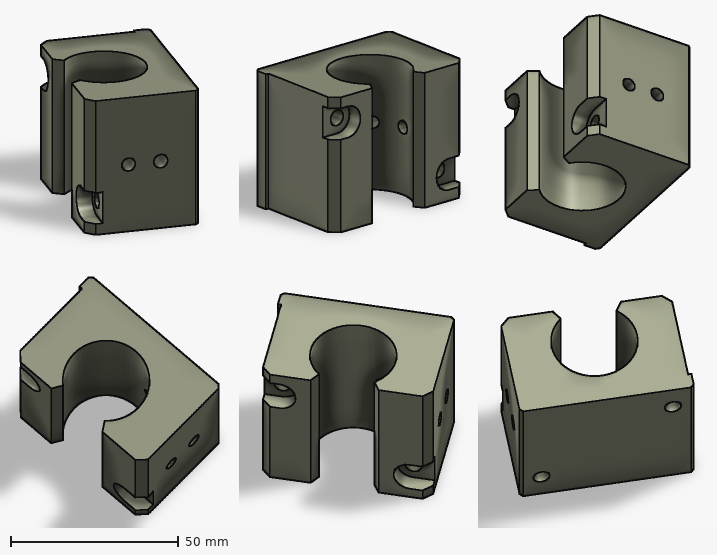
import cadquery as cq
import math

width = 53.0
depth = 35.0
height = 43.0
rear_chamfer = 1.0
front_chamfer = 2.7

lip_projection = 1.0
lip_depth = 5.0

bore_radius = 13.0
bore_to_front = 13.0
throat_half_width = 8.45
mouth_half_width = 10.4

mount_x = 20.0
mount_z = 13.0
mount_hole_diameter = 4.95
pocket_radius = 5.0
pocket_depth = 5.0

center_hole_diameter = 4.15
rear_hole_diameter = 4.3
rear_hole_y = 10.0

right = width / 2
left = -width / 2
left_wall = left + lip_projection
front = -bore_to_front
rear = front + depth
throat_y = -math.sqrt(bore_radius**2 - throat_half_width**2)


def make_body():
    """Extrude the cross-section, including the bore and its open mouth."""
    return (
        cq.Workplane("XY")
        .workplane(offset=-height / 2)
        .moveTo(-mouth_half_width, front)
        .lineTo(-throat_half_width, throat_y)
        .threePointArc((0, bore_radius), (throat_half_width, throat_y))
        .lineTo(mouth_half_width, front)
        .lineTo(right - front_chamfer, front)
        .lineTo(right, front + front_chamfer)
        .lineTo(right, rear - rear_chamfer)
        .lineTo(right - rear_chamfer, rear)
        .lineTo(left + rear_chamfer, rear)
        .lineTo(left, rear - rear_chamfer)
        .lineTo(left, rear - lip_depth)
        .lineTo(left_wall, rear - lip_depth)
        .lineTo(left_wall, front + front_chamfer)
        .lineTo(left_wall + front_chamfer, front)
        .close()
        .extrude(height)
    )


def make_mount_cut(side):
    """Pocket and through hole; side is -1 for upper left, +1 for lower right."""
    x = side * mount_x
    z = -side * mount_z
    side_x = side * right
    front_plane = cq.Workplane("XZ", origin=(0, front, 0))
    round_end = front_plane.center(x, z).circle(pocket_radius).extrude(-pocket_depth)
    open_end = (
        front_plane.center((x + side_x) / 2, z)
        .rect(abs(side_x - x), 2 * pocket_radius)
        .extrude(-pocket_depth)
    )
    hole = front_plane.center(x, z).circle(mount_hole_diameter / 2).extrude(-depth)
    return round_end.union(open_end).union(hole)


def make_cross_hole(y, diameter):
    """Hole at mid-height running from the middle of the bore to the +X side."""
    return cq.Workplane("YZ").center(y, 0).circle(diameter / 2).extrude(right)


result = make_body()
for mount_side in (-1, 1):
    result = result.cut(make_mount_cut(mount_side))
result = result.cut(make_cross_hole(0, center_hole_diameter))
result = result.cut(make_cross_hole(rear_hole_y, rear_hole_diameter))